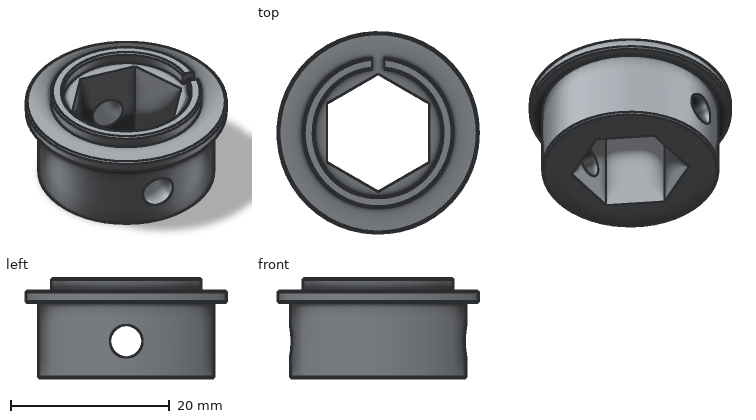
import cadquery as cq

flange_diameter = 25.4
body_diameter = 22.25
rim_diameter = 19.05
rim_inner_diameter = 16.0
total_height = 12.7
rim_height = 1.57
flange_thickness = 1.6
edge_chamfer = 0.25
hex_across_flats = 12.85
cross_hole_diameter = 4.06
cross_hole_height = 4.72
rim_gap_width = 1.6

flange_top = total_height - rim_height
flange_bottom = flange_top - flange_thickness


def disc(diameter, bottom, top):
    return cq.Workplane("XY").workplane(offset=bottom).circle(diameter / 2).extrude(top - bottom)


body = disc(body_diameter, 0, flange_bottom).faces("<Z").chamfer(edge_chamfer)
flange = disc(flange_diameter, flange_bottom, flange_top).edges().chamfer(edge_chamfer)
rim = disc(rim_diameter, flange_top, total_height).faces(">Z").chamfer(edge_chamfer)
bushing = body.union(flange).union(rim)

recess = disc(rim_inner_diameter, flange_top, total_height)
mouth = (
    cq.Workplane("XY")
    .workplane(offset=total_height)
    .circle(rim_inner_diameter / 2 + edge_chamfer)
    .extrude(-edge_chamfer, taper=45)
)
recess = recess.union(mouth)

rim_gap = (
    cq.Workplane("XY")
    .workplane(offset=flange_top)
    .center(0, rim_diameter / 4)
    .rect(rim_gap_width, rim_diameter / 2)
    .extrude(rim_height)
)

hex_bore = (
    cq.Workplane("XY")
    .polygon(6, hex_across_flats, circumscribed=True)
    .extrude(total_height)
)

cross_hole = (
    cq.Workplane("YZ")
    .center(0, cross_hole_height)
    .circle(cross_hole_diameter / 2)
    .extrude(body_diameter / 2, both=True)
)

result = bushing.cut(recess).cut(rim_gap).cut(hex_bore).cut(cross_hole)